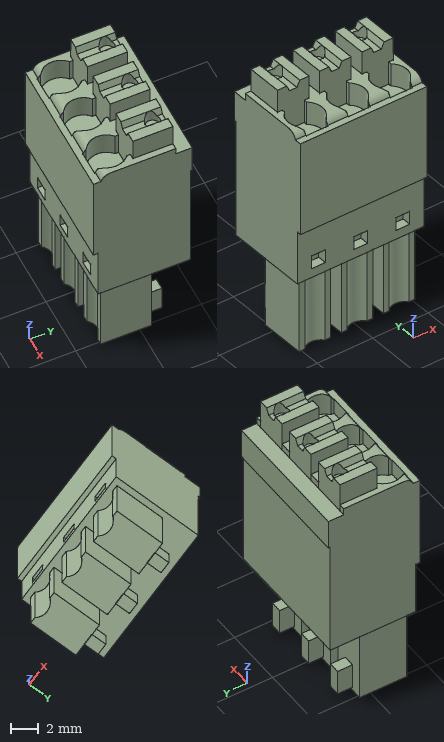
import cadquery as cq
import math

POLES = 3
PITCH = 3.8
WIDTH = 11.45
DEPTH = 7.9
HEIGHT = 22.0

BASE_Z = 6.6
FRONT_STEP_Z = 11.26
FRONT_STEP = 0.37
REAR_STEP_Z = 16.8
REAR_STEP = 0.15
LIP_Z = 19.43
TOP_Z = 20.02
FRONT_LEDGE = 0.6
REAR_LEDGE = 1.32
CREST_RADIUS = 0.88

ENTRY_RADIUS = 1.52
ENTRY_SLOT_WIDTH = 1.98
ENTRY_FRONT_Y = 0.53
ENTRY_DEPTH = 2.0

WINDOW_WIDTH = 1.23
WINDOW_HEIGHT = 1.15
WINDOW_BOTTOM_Z = 7.4
WINDOW_DEPTH = 0.8

PRONG_WIDTH = 2.84
PRONG_FRONT_Y = 0.81
PRONG_BACK_Y = 4.88
GROOVE_WIDTH = 1.8
GROOVE_DEPTH = 0.45
TAB_WIDTH = 0.95
TAB_REACH = 1.28
TAB_BOTTOM_Z = 0.29
TAB_HEIGHT = 2.25

LEVER_WIDTH = 2.84
LEVER_FRONT_Y = 3.39
NOTCH_TOP_WIDTH = 1.19
NOTCH_FLOOR_WIDTH = 0.65
NOTCH_DEPTH = 0.53
SOCKET_DIAMETER = 1.19
SOCKET_Y = 5.63
SOCKET_DEPTH = 1.1

LEVER_BACK_Y = DEPTH - REAR_LEDGE
LEVER_BOTTOM_Z = TOP_Z - ENTRY_DEPTH
ENTRY_Y = (LEVER_FRONT_Y + ENTRY_FRONT_Y) / 2
POLE_XS = [(i - (POLES - 1) / 2) * PITCH for i in range(POLES)]


def box(x, width, y_front, y_back, z_bottom, z_top):
    """Block centred on x, between the given Y and Z limits."""
    size = (width, y_back - y_front, z_top - z_bottom)
    corner = (x - width / 2, y_front, z_bottom)
    return cq.Workplane("XY").box(*size, centered=False).translate(corner)


def housing_block():
    """Stepped side profile with a rounded front crest, extruded across the width."""
    crest_drop = TOP_Z - LIP_Z
    crest_angle = math.acos(1 - crest_drop / CREST_RADIUS)
    crest_y = FRONT_LEDGE + CREST_RADIUS * math.sin(crest_angle)
    crest_mid = (
        crest_y - CREST_RADIUS * math.sin(crest_angle / 2),
        TOP_Z - CREST_RADIUS * (1 - math.cos(crest_angle / 2)),
    )
    return (
        cq.Workplane("YZ", origin=(-WIDTH / 2, 0, 0))
        .moveTo(FRONT_STEP, BASE_Z)
        .lineTo(FRONT_STEP, FRONT_STEP_Z)
        .lineTo(0, FRONT_STEP_Z)
        .lineTo(0, LIP_Z)
        .lineTo(FRONT_LEDGE, LIP_Z)
        .threePointArc(crest_mid, (crest_y, TOP_Z))
        .lineTo(LEVER_BACK_Y, TOP_Z)
        .lineTo(LEVER_BACK_Y, LIP_Z)
        .lineTo(DEPTH, LIP_Z)
        .lineTo(DEPTH, REAR_STEP_Z)
        .lineTo(DEPTH - REAR_STEP, REAR_STEP_Z)
        .lineTo(DEPTH - REAR_STEP, BASE_Z)
        .close()
        .extrude(WIDTH)
    )


def wire_entry(x):
    """Blind entry: round sides, with a straight slot to the front and to the lever behind it."""
    half_slot = ENTRY_SLOT_WIDTH / 2
    arc_reach = math.sqrt(ENTRY_RADIUS**2 - half_slot**2)
    return (
        cq.Workplane("XY", origin=(x, ENTRY_Y, LEVER_BOTTOM_Z))
        .moveTo(-half_slot, ENTRY_FRONT_Y - ENTRY_Y)
        .lineTo(half_slot, ENTRY_FRONT_Y - ENTRY_Y)
        .lineTo(half_slot, -arc_reach)
        .threePointArc((ENTRY_RADIUS, 0), (half_slot, arc_reach))
        .lineTo(half_slot, LEVER_FRONT_Y - ENTRY_Y)
        .lineTo(-half_slot, LEVER_FRONT_Y - ENTRY_Y)
        .lineTo(-half_slot, arc_reach)
        .threePointArc((-ENTRY_RADIUS, 0), (-half_slot, -arc_reach))
        .close()
        .extrude(ENTRY_DEPTH)
    )


def lever_recess(x):
    """Pocket that the foot of a lever fills exactly."""
    return box(x, LEVER_WIDTH, LEVER_FRONT_Y, LEVER_BACK_Y, LEVER_BOTTOM_Z, TOP_Z)


def window(x):
    """Blind rectangular inspection window in the set-back front face."""
    return box(
        x, WINDOW_WIDTH, FRONT_STEP, FRONT_STEP + WINDOW_DEPTH,
        WINDOW_BOTTOM_Z, WINDOW_BOTTOM_Z + WINDOW_HEIGHT,
    )


def prong(x):
    """Plug prong with an arc groove down its front and a coding tab on its back."""
    half_groove = GROOVE_WIDTH / 2
    shank = (
        cq.Workplane("XY")
        .moveTo(x - PRONG_WIDTH / 2, PRONG_FRONT_Y)
        .lineTo(x - half_groove, PRONG_FRONT_Y)
        .threePointArc((x, PRONG_FRONT_Y + GROOVE_DEPTH), (x + half_groove, PRONG_FRONT_Y))
        .lineTo(x + PRONG_WIDTH / 2, PRONG_FRONT_Y)
        .lineTo(x + PRONG_WIDTH / 2, PRONG_BACK_Y)
        .lineTo(x - PRONG_WIDTH / 2, PRONG_BACK_Y)
        .close()
        .extrude(BASE_Z)
    )
    tab = box(
        x, TAB_WIDTH, PRONG_BACK_Y, PRONG_BACK_Y + TAB_REACH,
        TAB_BOTTOM_Z, TAB_BOTTOM_Z + TAB_HEIGHT,
    )
    return shank.union(tab)


def make_housing():
    """Housing block with one entry, recess, window and prong per pole."""
    body = housing_block()
    for x in POLE_XS:
        body = body.cut(wire_entry(x)).cut(lever_recess(x)).cut(window(x))
        body = body.union(prong(x))
    return body


def make_lever(x):
    """Release lever with a tapered notch across its top and a round tool socket."""
    notch = (
        cq.Workplane("XZ", origin=(x, LEVER_BACK_Y, 0))
        .moveTo(-NOTCH_TOP_WIDTH / 2, HEIGHT)
        .lineTo(-NOTCH_FLOOR_WIDTH / 2, HEIGHT - NOTCH_DEPTH)
        .lineTo(NOTCH_FLOOR_WIDTH / 2, HEIGHT - NOTCH_DEPTH)
        .lineTo(NOTCH_TOP_WIDTH / 2, HEIGHT)
        .close()
        .extrude(LEVER_BACK_Y - LEVER_FRONT_Y)
    )
    socket = (
        cq.Workplane("XY", origin=(x, SOCKET_Y, HEIGHT - SOCKET_DEPTH))
        .circle(SOCKET_DIAMETER / 2)
        .extrude(SOCKET_DEPTH)
    )
    blank = box(x, LEVER_WIDTH, LEVER_FRONT_Y, LEVER_BACK_Y, LEVER_BOTTOM_Z, HEIGHT)
    return blank.cut(notch).cut(socket)


housing = make_housing()
levers = [make_lever(x) for x in POLE_XS]

result = cq.Compound.makeCompound([housing.val(), *[lever.val() for lever in levers]])